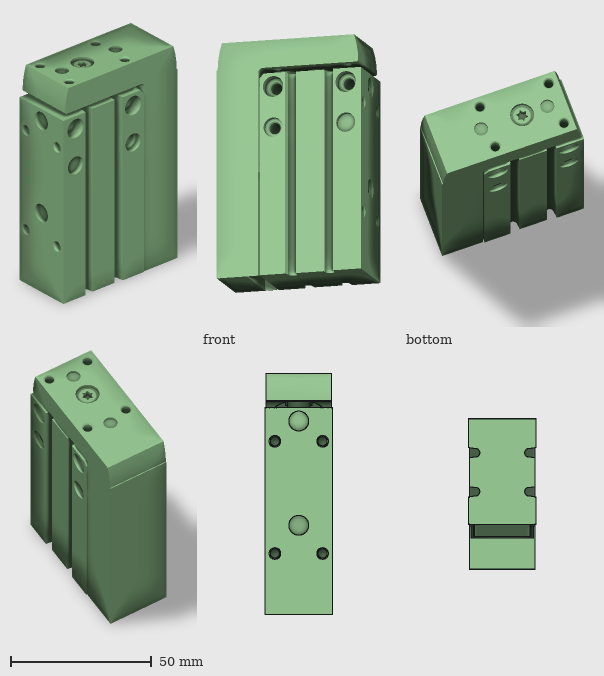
import cadquery as cq
import math


height = 85.6
depth = 53.5

housing_width = 24.0
housing_depth = 37.6
housing_height = 73.45
housing_back_chamfer = 1.6

groove_ys = (12.15, 25.9)
groove_mouth_width = 3.4
groove_mouth_depth = 1.5
groove_width = 3.1
groove_depth = 4.0
centre_recess_depth = 0.4
centre_recess_front = 10.4
centre_recess_back = 27.9

side_hole_ys = (5.65, 32.5)
upper_side_hole_z = 68.5
lower_side_hole_z = 53.7
side_bore_diameter = 4.1
side_bore_countersink = 5.0
upper_counterbore_diameter = 7.5
upper_counterbore_depth = 4.0
lower_counterbore_diameter = 7.0
lower_counterbore_depth = 2.0

front_recess_diameter = 7.0
front_recess_depth = 1.7
front_recess_zs = (31.7, 68.65)
front_hole_x = 8.5
front_hole_zs = (21.65, 61.5)
front_hole_depth = 6.85
drill_point_angle = 118.0

carriage_width = 20.55
carriage_depth = 4.3
carriage_bottom = 38.1
carriage_top = 69.2
end_cap_width = 19.7
end_cap_height = 3.0

table_width = 23.3
table_front = 1.1
table_back_thickness = 15.4
table_underside = 75.6
table_inner_face = depth - table_back_thickness
table_inner_fillet = 1.7
front_edge_chamfer = 0.4
end_curve_inset = 1.5
back_ledge = 0.3
back_ledge_z = 75.8

channel_width = 22.25
channel_depth = 4.3
channel_top = 75.5
channel_corner_diameter = 16.0

table_hole_x = 8.0
table_hole_ys = (6.2, 32.1)
locating_recess_diameter = 5.0
locating_recess_depth = 1.0
locating_recess_ys = (9.6, 34.6)

rod_y = 19.1
rod_diameter = 8.1
screw_bore_diameter = 8.5
screw_bore_depth = 1.45
screw_head_diameter = 7.0
screw_head_height = 0.7
screw_head_chamfer = 0.5
socket_diameter = 4.1
socket_depth = 2.6
socket_lobes = 6
socket_scallop_diameter = 2.05
socket_scallop_offset = 2.5

bumper_y = 31.5
bumper_diameter = 9.5
bumper_height = 1.45
bumper_neck_diameter = 6.5

thread_bore_diameter = 3.25
thread_mouth_diameter = 4.1


def cylinder(start, direction, diameter, length):
    return cq.Workplane(cq.Solid.makeCylinder(diameter / 2, length, cq.Vector(*start), cq.Vector(*direction)))


def cone(start, direction, start_diameter, end_diameter, length):
    return cq.Workplane(
        cq.Solid.makeCone(start_diameter / 2, end_diameter / 2, length, cq.Vector(*start), cq.Vector(*direction))
    )


def centred_box(width, y_range, z_range):
    """Box centred on the mid plane X = 0."""
    y_length = y_range[1] - y_range[0]
    z_length = z_range[1] - z_range[0]
    return (
        cq.Workplane()
        .box(width, y_length, z_length, centered=(True, False, False))
        .translate((0, y_range[0], z_range[0]))
    )


def countersink(start, direction, mouth_diameter, bore_diameter):
    """45 degree countersink from the mouth down to the bore."""
    return cone(start, direction, mouth_diameter, bore_diameter, (mouth_diameter - bore_diameter) / 2)


def side_groove(side, y):
    """Full-height groove with a slightly wider mouth and a round floor; side is -1 or +1 in X."""
    face_x = side * housing_width / 2
    step_x = side * (housing_width / 2 - groove_mouth_depth)
    floor_x = side * (housing_width / 2 - groove_depth)
    round_x = floor_x + side * groove_width / 2
    mouth_half = groove_mouth_width / 2
    half = groove_width / 2
    return (
        cq.Workplane("XY")
        .moveTo(face_x, y - mouth_half)
        .lineTo(step_x, y - mouth_half)
        .lineTo(step_x, y - half)
        .lineTo(round_x, y - half)
        .threePointArc((floor_x, y), (round_x, y + half))
        .lineTo(step_x, y + half)
        .lineTo(step_x, y + mouth_half)
        .lineTo(face_x, y + mouth_half)
        .close()
        .extrude(housing_height)
    )


def centre_recess(side):
    """Shallow recess in the side face that takes in both grooves and the land between them."""
    middle_x = side * (housing_width - centre_recess_depth) / 2
    recess = centred_box(centre_recess_depth, (centre_recess_front, centre_recess_back), (0, housing_height))
    return recess.translate((middle_x, 0, 0))


def side_bore(y, z, counterbore_diameter, counterbore_depth):
    """Bore through the full width, counterbored from both sides."""
    bore = cylinder((-housing_width / 2, y, z), (1, 0, 0), side_bore_diameter, housing_width)
    for side in (-1, 1):
        inward = (-side, 0, 0)
        shoulder_x = side * (housing_width / 2 - counterbore_depth)
        bore = bore.union(
            cylinder((side * housing_width / 2, y, z), inward, counterbore_diameter, counterbore_depth)
        )
        bore = bore.union(countersink((shoulder_x, y, z), inward, side_bore_countersink, side_bore_diameter))
    return bore


def front_threaded_hole(x, z):
    """Blind hole with a countersunk mouth and a drill point."""
    inward = (0, 1, 0)
    point_length = thread_bore_diameter / 2 / math.tan(math.radians(drill_point_angle / 2))
    bore = cylinder((x, 0, z), inward, thread_bore_diameter, front_hole_depth)
    point = cone((x, front_hole_depth, z), inward, thread_bore_diameter, 0, point_length)
    return bore.union(point).union(countersink((x, 0, z), inward, thread_mouth_diameter, thread_bore_diameter))


def guide_carriage():
    """Guide block on the back of the housing that runs in the table's channel, with two end caps."""
    y_range = (housing_depth, housing_depth + carriage_depth)
    block = centred_box(
        carriage_width, y_range, (carriage_bottom + end_cap_height, carriage_top - end_cap_height)
    )
    caps = centred_box(end_cap_width, y_range, (carriage_bottom, carriage_top))
    return block.union(caps)


def make_housing():
    body = centred_box(housing_width, (0, housing_depth), (0, housing_height))
    body = body.edges(">Y and >Z").chamfer(housing_back_chamfer)
    for side in (-1, 1):
        body = body.cut(centre_recess(side))
        for y in groove_ys:
            body = body.cut(side_groove(side, y))

    for y in side_hole_ys:
        body = body.cut(side_bore(y, upper_side_hole_z, upper_counterbore_diameter, upper_counterbore_depth))
    front_y, back_y = side_hole_ys
    body = body.cut(
        side_bore(back_y, lower_side_hole_z, lower_counterbore_diameter, lower_counterbore_depth)
    )
    for side in (-1, 1):
        start = (side * housing_width / 2, front_y, lower_side_hole_z)
        body = body.cut(cylinder(start, (-side, 0, 0), lower_counterbore_diameter, lower_counterbore_depth))

    for z in front_recess_zs:
        body = body.cut(cylinder((0, 0, z), (0, 1, 0), front_recess_diameter, front_recess_depth))
    for x in (-front_hole_x, front_hole_x):
        for z in front_hole_zs:
            body = body.cut(front_threaded_hole(x, z))
    return body.union(guide_carriage())


def curve_middle(base_y, inward, base_z):
    """Point half way up the end curve, which rises vertically from its base and leans inward."""
    rise = height - base_z
    radius = (rise**2 + end_curve_inset**2) / (2 * end_curve_inset)
    lean = radius - math.sqrt(radius**2 - (rise / 2) ** 2)
    return (base_y + inward * lean, base_z + rise / 2)


def table_blank():
    """L-shaped profile whose two upper ends curve inward to the top face."""
    curve_back = depth - back_ledge
    chamfer_top = table_underside + front_edge_chamfer
    return (
        cq.Workplane("YZ")
        .moveTo(depth, 0)
        .lineTo(depth, back_ledge_z)
        .lineTo(curve_back, back_ledge_z)
        .threePointArc(curve_middle(curve_back, -1, back_ledge_z), (curve_back - end_curve_inset, height))
        .lineTo(table_front + end_curve_inset, height)
        .threePointArc(curve_middle(table_front, 1, chamfer_top), (table_front, chamfer_top))
        .lineTo(table_front + front_edge_chamfer, table_underside)
        .lineTo(table_inner_face - table_inner_fillet, table_underside)
        .radiusArc((table_inner_face, table_underside - table_inner_fillet), table_inner_fillet)
        .lineTo(table_inner_face, 0)
        .close()
        .extrude(table_width / 2, both=True)
    )


def guide_channel():
    """Channel for the carriage, open at the bottom and round-cornered at the top."""
    y_range = (table_inner_face - table_inner_fillet, table_inner_face + channel_depth)
    channel = centred_box(channel_width, y_range, (0, channel_top))
    return channel.edges("|Y and >Z").fillet(channel_corner_diameter / 2)


def table_threaded_hole(x, y):
    bore = cylinder((x, y, height), (0, 0, -1), thread_bore_diameter, height - table_underside)
    return bore.union(countersink((x, y, height), (0, 0, -1), thread_mouth_diameter, thread_bore_diameter))


def screw_head():
    """Chamfered screw head standing on the floor of its bore."""
    floor_z = height - screw_bore_depth
    head = cylinder((0, rod_y, floor_z), (0, 0, 1), screw_head_diameter, screw_head_height)
    return head.faces(">Z").chamfer(screw_head_chamfer)


def screw_socket():
    """Six-lobed socket: a round recess with scallops between the lobes."""
    top_z = height - screw_bore_depth + screw_head_height
    socket = cylinder((0, rod_y, top_z), (0, 0, -1), socket_diameter, socket_depth)
    for lobe in range(socket_lobes):
        angle = 2 * math.pi * (lobe + 0.5) / socket_lobes
        x = socket_scallop_offset * math.cos(angle)
        y = rod_y + socket_scallop_offset * math.sin(angle)
        socket = socket.cut(cylinder((x, y, top_z), (0, 0, -1), socket_scallop_diameter, socket_depth))
    return socket


def piston_rod():
    return cylinder((0, rod_y, housing_height), (0, 0, 1), rod_diameter, table_underside - housing_height)


def bumper():
    """Disc under the table with a narrower neck that rests on the housing."""
    disc = cylinder((0, bumper_y, table_underside), (0, 0, -1), bumper_diameter, bumper_height)
    neck_height = table_underside - housing_height
    neck = cylinder((0, bumper_y, housing_height), (0, 0, 1), bumper_neck_diameter, neck_height)
    return disc.union(neck)


def make_table():
    body = table_blank().cut(guide_channel())
    for x in (-table_hole_x, table_hole_x):
        for y in table_hole_ys:
            body = body.cut(table_threaded_hole(x, y))
    for y in locating_recess_ys:
        body = body.cut(cylinder((0, y, height), (0, 0, -1), locating_recess_diameter, locating_recess_depth))
    body = body.cut(cylinder((0, rod_y, height), (0, 0, -1), screw_bore_diameter, screw_bore_depth))
    body = body.union(screw_head()).cut(screw_socket())
    return body.union(piston_rod()).union(bumper())


housing = make_housing()
table = make_table()
result = cq.Compound.makeCompound([housing.val(), table.val()])